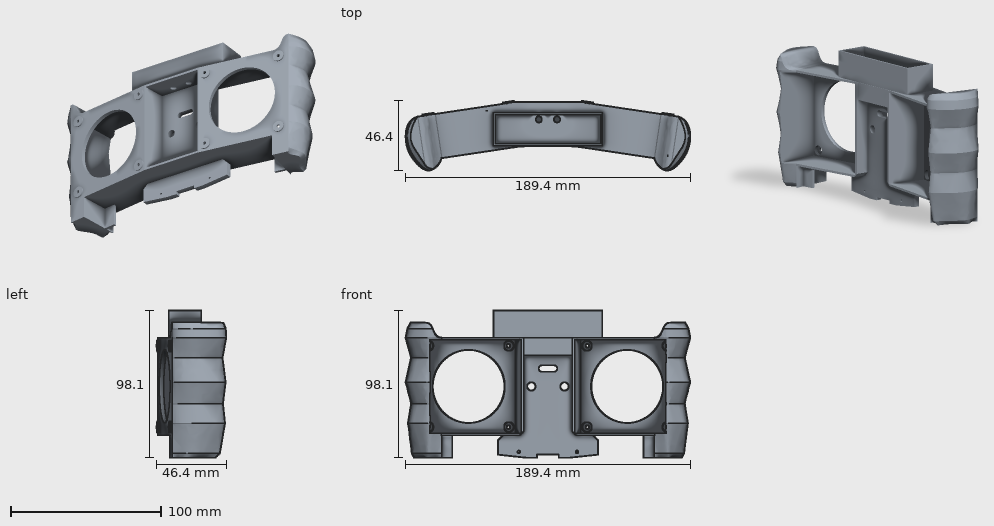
import cadquery as cq
import math

back_y = 22.4
body_depth = 29.8
body_top = 31.0
wall = 1.5
wing_angle = 8.5
hinge_x = 21.4

pocket_size = 62.0
pocket_start = 0.9
back_plate = 3.0
lens_diameter = 48.5
screw_pitch = 54.0
screw_hole = 2.4
screw_recess = 6.5
screw_recess_depth = 2.5
screw_boss = 7.7
screw_boss_height = 0.9

pocket_center_u = pocket_start + pocket_size / 2
pocket_end = pocket_start + pocket_size
wing_end = pocket_end + wall
pocket_top = body_top - wall
pocket_center_z = pocket_top - pocket_size / 2
body_bottom = body_top - pocket_size - 2 * wall
body_height = body_top - body_bottom
front_y = back_y - body_depth

channel_half_width = 16.1
channel_top = 19.1
channel_chamfer = 2.6
channel_floor_y = 1.9
lintel_recess = 0.4
middle_plate = 4.0
peg_hole = 5.4
peg_spacing = 22.0
slot_length = 12.2
slot_height = 4.1
slot_z = 10.4
tab_half_width = 33.3
tab_chamfer = 3.3
tab_side_top = body_bottom - tab_chamfer
tab_side_bottom = -46.9
tab_bottom = -49.05
tab_foot_outer = 13.6
tab_notch_half = 7.1
tab_hole = 1.6
tab_hole_spacing = 38.7
tab_hole_z = -45.0

box_width = 72.5
box_depth = 21.8
box_back_y = 15.1
box_top = 49.05
box_wall = 1.2
wire_hole = 4.1
wire_spacing = 12.1
wire_y = 10.7

grip_inner_u = 54.2
grip_outer_u = 76.15
grip_front_v = -36.7
grip_shoulder_v = -29.5
grip_back_outer_u = 66.0
nose_inner_offset = (3.5, 2.4)
nose_tip_offset = 9.3
outer_front_offset = (5.3, 5.5)
palm_offset = 21.0
outer_back_inset = 4.0
outer_back_v = -3.3
grip_top = 41.0
grip_bottom = tab_bottom
grip_stations = [
    (grip_bottom, 7.0, 7.5),
    (-45.9, 4.5, 4.3),
    (-26.0, 1.6, 0.8),
    (-13.0, 3.8, 2.2),
    (1.3, 0.0, 0.4),
    (17.5, 3.8, 2.5),
    (31.0, 0.0, 0.0),
    (37.0, 1.2, 0.3),
    (grip_top, 3.5, 2.0),
]
flare_middle = (60.5, 35.5)
flare_end_u = 66.0
flare_cut_margin = 10.0

flange_start_u = 46.0
flange_front_v = -22.8
flange_thickness = 2.0


def box_between(x0, x1, y0, y1, z0, z1):
    size = (x1 - x0, y1 - y0, z1 - z0)
    return cq.Workplane("XY").box(*size, centered=False).translate((x0, y0, z0))


def rod_along_y(diameter, x, z, y0, y1):
    rod = cq.Workplane("XZ").circle(diameter / 2).extrude(y0 - y1)
    return rod.translate((x, y0, z))


def place_wing(shape):
    """Move a shape from wing axes to the +X wing."""
    return shape.rotate((0, 0, 0), (0, 0, 1), -wing_angle).translate((hinge_x, back_y, 0))


def both_sides(shape):
    placed = place_wing(shape)
    return placed.union(placed.mirror("YZ"))


def body_block():
    angle = math.radians(wing_angle)
    front_x = hinge_x - body_depth * math.tan(angle / 2)
    end_back_x = hinge_x + wing_end * math.cos(angle)
    end_back_y = back_y - wing_end * math.sin(angle)
    end_front_x = end_back_x - body_depth * math.sin(angle)
    end_front_y = end_back_y - body_depth * math.cos(angle)
    right = [
        (hinge_x, back_y),
        (end_back_x, end_back_y),
        (end_front_x, end_front_y),
        (front_x, front_y),
    ]
    left = [(-x, y) for x, y in reversed(right)]
    block = cq.Workplane("XY").polyline(right + left).close().extrude(body_height)
    return block.translate((0, 0, body_bottom))


def screw_places():
    for side_u in (-1, 1):
        for side_z in (-1, 1):
            yield (
                pocket_center_u + side_u * screw_pitch / 2,
                pocket_center_z + side_z * screw_pitch / 2,
            )


def grip_section(height, outer_inset, front_inset):
    outer_u = grip_outer_u - outer_inset
    front_v = grip_front_v + front_inset
    inner_front = (grip_inner_u + nose_inner_offset[0], front_v + nose_inner_offset[1])
    nose = (grip_inner_u + nose_tip_offset, front_v)
    outer_front = (outer_u - outer_front_offset[0], front_v + outer_front_offset[1])
    palm = (outer_u, front_v + palm_offset)
    outer_back = (outer_u - outer_back_inset, outer_back_v)
    back_end = (grip_back_outer_u, 0)
    section = (
        cq.Workplane("XY", origin=(0, 0, height))
        .moveTo(*back_end)
        .lineTo(grip_inner_u, 0)
        .lineTo(grip_inner_u, grip_shoulder_v)
        .spline([inner_front, nose, outer_front, palm, outer_back, back_end], includeCurrent=True)
        .close()
    )
    return section.wire().val()


def grip():
    sections = [grip_section(*station) for station in grip_stations]
    return cq.Workplane(cq.Solid.makeLoft(sections, True))


def flare_cut():
    """The S-curved hollow between the body top and the top of a grip."""
    start_u = grip_inner_u - flare_cut_margin
    ceiling = grip_top + flare_cut_margin
    length = 2 * flare_cut_margin - grip_front_v
    profile = (
        cq.Workplane("XZ")
        .moveTo(start_u, body_top)
        .lineTo(grip_inner_u, body_top)
        .spline(
            [flare_middle, (flare_end_u, grip_top)],
            tangents=[(1, 0), (1, 0)],
            includeCurrent=True,
        )
        .lineTo(flare_end_u, ceiling)
        .lineTo(start_u, ceiling)
        .close()
    )
    return profile.extrude(length).translate((0, flare_cut_margin, 0))


def flange():
    return box_between(
        flange_start_u,
        grip_inner_u + wall,
        flange_front_v,
        flange_front_v + flange_thickness,
        grip_bottom,
        body_bottom + wall / 2,
    )


def wing_bosses():
    bosses = cq.Workplane("XY")
    for u, z in screw_places():
        bosses = bosses.union(rod_along_y(screw_boss, u, z, -back_plate / 2, screw_boss_height))
    return bosses


def wing_cuts():
    """Pocket open to the front, lens opening and the recessed screw holes."""
    beyond_front = 2 * grip_front_v
    cuts = box_between(
        pocket_start,
        pocket_end,
        beyond_front,
        -back_plate,
        pocket_top - pocket_size,
        pocket_top,
    )
    cuts = cuts.union(
        rod_along_y(lens_diameter, pocket_center_u, pocket_center_z, -body_depth, back_plate)
    )
    recess_floor = screw_recess_depth - back_plate
    for u, z in screw_places():
        cuts = cuts.union(rod_along_y(screw_recess, u, z, -body_depth, recess_floor))
        cuts = cuts.union(rod_along_y(screw_hole, u, z, -body_depth, back_plate))
    return cuts


def channel_cut():
    flared = channel_half_width + channel_chamfer
    profile = [
        (-channel_half_width, channel_top),
        (channel_half_width, channel_top),
        (channel_half_width, body_bottom + channel_chamfer),
        (flared, body_bottom),
        (-flared, body_bottom),
        (-channel_half_width, body_bottom + channel_chamfer),
    ]
    cut = cq.Workplane("XZ").polyline(profile).close().extrude(channel_floor_y - front_y)
    lintel_cut = box_between(
        -channel_half_width,
        channel_half_width,
        front_y,
        front_y + lintel_recess,
        channel_top,
        body_top,
    )
    return cut.translate((0, channel_floor_y, 0)).union(lintel_cut)


def back_cavity():
    """Hollow behind the middle plate, open at the back, beside walls parallel to the pockets."""
    angle = math.radians(wing_angle)
    cavity_y = channel_floor_y + middle_plate
    back_half = hinge_x - (wall - pocket_start) / math.cos(angle)
    floor_half = back_half - (back_y - cavity_y) * math.tan(angle)
    outline = [
        (-floor_half, cavity_y),
        (floor_half, cavity_y),
        (back_half, back_y),
        (-back_half, back_y),
    ]
    cavity = cq.Workplane("XY").polyline(outline).close().extrude(pocket_size)
    return cavity.translate((0, 0, pocket_top - pocket_size))


def tab():
    right = [
        (tab_half_width - tab_chamfer, body_bottom),
        (tab_half_width, tab_side_top),
        (tab_half_width, tab_side_bottom),
        (tab_foot_outer, tab_bottom),
        (tab_notch_half, tab_bottom),
        (tab_notch_half, tab_side_bottom),
    ]
    left = [(-x, z) for x, z in reversed(right)]
    plate = cq.Workplane("XZ").polyline(right + left).close().extrude(-middle_plate)
    return plate.translate((0, channel_floor_y, 0))


def middle_holes():
    reach = back_y + wall
    slot = cq.Workplane("XZ").slot2D(slot_length, slot_height).extrude(-reach)
    holes = slot.translate((0, 0, slot_z))
    for side in (-1, 1):
        peg_x = side * peg_spacing / 2
        tab_x = side * tab_hole_spacing / 2
        holes = holes.union(rod_along_y(peg_hole, peg_x, pocket_center_z, 0, reach))
        holes = holes.union(rod_along_y(tab_hole, tab_x, tab_hole_z, 0, reach))
    return holes


def top_box():
    half = box_width / 2
    front = box_back_y - box_depth
    outer = box_between(-half, half, front, box_back_y, body_top, box_top)
    inner = box_between(
        box_wall - half,
        half - box_wall,
        front + box_wall,
        box_back_y - box_wall,
        body_top,
        box_top,
    )
    return outer.cut(inner)


def wire_holes():
    """Holes from the box floor down into the back cavity."""
    depth = 3 * wall
    holes = cq.Workplane("XY", origin=(0, wire_y, pocket_top - wall))
    holes = holes.pushPoints([(-wire_spacing / 2, 0), (wire_spacing / 2, 0)])
    return holes.circle(wire_hole / 2).extrude(depth)


grips = both_sides(grip().cut(flare_cut()).union(flange()))
result = body_block().union(grips).union(both_sides(wing_bosses()))
result = result.cut(both_sides(wing_cuts()))
result = result.cut(channel_cut()).cut(back_cavity()).union(tab()).union(top_box())
result = result.cut(middle_holes()).cut(wire_holes())